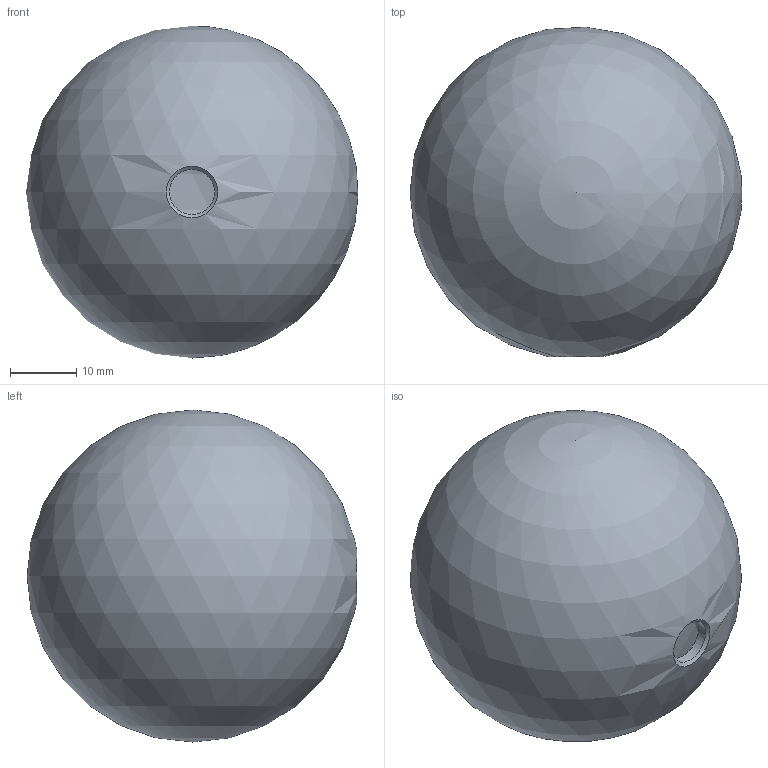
import cadquery as cq
import math

ball_diameter = 50.0
wall_thickness = 2.0
ball_radius = ball_diameter / 2
cavity_radius = ball_radius - wall_thickness

hole_diameter = 6.8
rim_chamfer = 0.5
hole_radius = hole_diameter / 2
mouth_radius = hole_radius + rim_chamfer


def distance_to_surface(radius):
    """Distance along Y from the ball centre to the circle of this radius on the ball surface."""
    return math.sqrt(ball_radius**2 - radius**2)


def make_shell():
    ball = cq.Workplane("XY").sphere(ball_radius)
    cavity = cq.Workplane("XY").sphere(cavity_radius)
    return ball.cut(cavity)


def make_hole_cutter():
    """Turn the half profile of the hole (radius along X, depth along Y) about the Y axis."""
    mouth_y = -distance_to_surface(mouth_radius)
    chamfer_end_y = -distance_to_surface(hole_radius) + rim_chamfer
    return (
        cq.Workplane("XY")
        .moveTo(0, -ball_radius)
        .lineTo(mouth_radius, -ball_radius)
        .lineTo(mouth_radius, mouth_y)
        .lineTo(hole_radius, chamfer_end_y)
        .lineTo(hole_radius, 0)
        .lineTo(0, 0)
        .close()
        .revolve(360, (0, 0, 0), (0, 1, 0))
    )


result = make_shell().cut(make_hole_cutter())